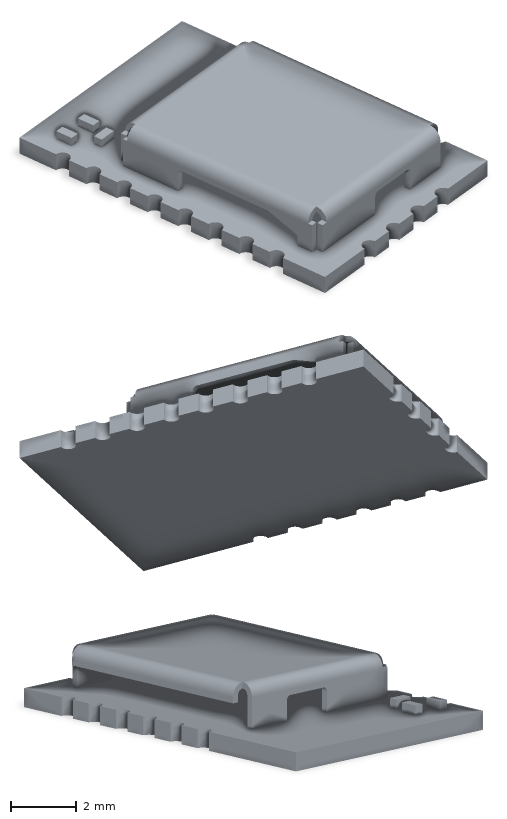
import cadquery as cq


BOARD_LENGTH = 12.0
BOARD_WIDTH = 8.0
BOARD_THICKNESS = 0.6
TOTAL_HEIGHT = 2.02

CONTACT_PITCH = 1.2
HOLE_RADIUS = 0.25
PLATING_RADIUS = 0.41
FRONT_CONTACTS = 8
BACK_CONTACTS = 6
SIDE_CONTACTS = 4
FIRST_FRONT_X = 1.69
FIRST_BACK_X = FIRST_FRONT_X + (FRONT_CONTACTS - BACK_CONTACTS) * CONTACT_PITCH
FIRST_SIDE_Y = (BOARD_WIDTH - (SIDE_CONTACTS - 1) * CONTACT_PITCH) / 2

SHEET = 0.2
BEND_RADIUS = 0.41
LID_X_MIN = 3.6
LID_X_MAX = 10.7
LID_Y_MIN = 1.2
LID_Y_MAX = 6.79
FOLD_Z = TOTAL_HEIGHT - BEND_RADIUS
CAN_X_MIN = LID_X_MIN - BEND_RADIUS
CAN_X_MAX = LID_X_MAX + BEND_RADIUS
CAN_Y_MIN = LID_Y_MIN - BEND_RADIUS
CAN_Y_MAX = LID_Y_MAX + BEND_RADIUS
SEAM_GAP = 0.05
OPENING_Z = 1.4
OPENING_FILLET = 0.15
END_OPENING_Y_MIN = 3.59
END_OPENING_Y_MAX = 5.29
FRONT_OPENING_X_MIN = 5.6
FRONT_OPENING_X_MAX = 10.3
SLOPE_START_X = 9.12
SLOPE_END_Z = 0.98

CHIP_LENGTH = 0.6
CHIP_WIDTH = 0.3
CHIP_HEIGHT = 0.3
CHIPS = [
    (1.33, 1.74, 0, 0.96, 0.0),
    (1.24, 0.79, 0, 0.98, -0.02),
    (2.16, 1.45, 90, 0.9, -0.02),
]

COPPER = 0.04
COPPER_EDGE = 7.68
ANTENNA_FEED_Y = CHIPS[0][1] + CHIP_WIDTH / 2
ANTENNA = [
    (1.49, ANTENNA_FEED_Y), (1.49, 2.3), (0.3, 2.3), (0.3, COPPER_EDGE),
    (2.48, COPPER_EDGE), (2.48, 2.85), (1.15, 2.85), (1.15, 7.01),
    (1.62, 7.01), (1.62, 3.07), (2.32, 3.07), (2.32, 7.48),
    (0.47, 7.48), (0.47, 2.53), (1.7, 2.53), (1.7, ANTENNA_FEED_Y),
]
BACK_LEFT_PAD = [(2.77, 6.49), (LID_X_MIN, 6.49), (LID_X_MIN, COPPER_EDGE), (2.77, COPPER_EDGE)]
BACK_RIGHT_PAD = [
    (LID_X_MAX, COPPER_EDGE), (11.7, COPPER_EDGE), (11.7, 6.92), (11.52, 6.92),
    (11.52, 6.19), (10.8, 6.19), (10.8, 6.92), (LID_X_MAX, 6.92),
]
FRONT_LEFT_PAD = [
    (2.52, 0.6), (5.85, 0.6), (5.85, LID_Y_MIN), (LID_X_MIN, LID_Y_MIN),
    (LID_X_MIN, 3.71), (2.69, 3.71), (2.69, 1.57), (2.52, 1.57),
]
FRONT_RIGHT_PAD = [
    (10.57, 0.43), (11.7, 0.43), (11.7, 1.24), (11.57, 1.24), (11.57, 1.79), (10.57, 1.79),
]


def block(x_min, x_max, y_min, y_max, z_min, z_max):
    """Box given by its limits along each axis."""
    size = (x_max - x_min, y_max - y_min, z_max - z_min)
    return cq.Workplane().box(*size, centered=False).translate((x_min, y_min, z_min))


def contact_centres():
    """Points on the board's edges where the castellations are centred."""
    front = [(FIRST_FRONT_X + i * CONTACT_PITCH, 0) for i in range(FRONT_CONTACTS)]
    back = [(FIRST_BACK_X + i * CONTACT_PITCH, BOARD_WIDTH) for i in range(BACK_CONTACTS)]
    side = [(BOARD_LENGTH, FIRST_SIDE_Y + i * CONTACT_PITCH) for i in range(SIDE_CONTACTS)]
    return front + back + side


def edge_cylinders(radius):
    """Upright cylinders through the board at every castellation."""
    return cq.Workplane().pushPoints(contact_centres()).circle(radius).extrude(BOARD_THICKNESS)


def copper_layer():
    """Antenna, shield pads and chip lands, set into the board's top face."""
    plane = cq.Workplane().workplane(offset=BOARD_THICKNESS - COPPER)
    layer = plane.polyline(ANTENNA).close().extrude(COPPER)
    for outline in (BACK_LEFT_PAD, BACK_RIGHT_PAD, FRONT_LEFT_PAD, FRONT_RIGHT_PAD):
        layer = layer.add(plane.polyline(outline).close().extrude(COPPER))
    for x, y, angle, land_length, land_offset in CHIPS:
        land = cq.Workplane().center(land_offset, 0).rect(land_length, CHIP_WIDTH).extrude(COPPER)
        land = land.rotate((0, 0, 0), (0, 0, 1), angle)
        layer = layer.add(land.translate((x, y, BOARD_THICKNESS - COPPER)))
    return layer


def make_board():
    """Board with castellations; the flush copper only leaves its outlines on the faces."""
    blank = block(0, BOARD_LENGTH, 0, BOARD_WIDTH, 0, BOARD_THICKNESS)
    blank = blank.cut(edge_cylinders(HOLE_RADIUS))
    plating = blank.intersect(edge_cylinders(PLATING_RADIUS))
    inlays = plating.solids().vals() + copper_layer().solids().vals()
    board = blank.val().cut(*inlays)
    return cq.Workplane(board.fuse(*inlays)).solids()


def fold(start, outward, length):
    """Quarter-round fold from the lid edge; it runs along outward x Z from its start point."""
    direction = cq.Vector(*outward)
    plane = cq.Plane(origin=(*start, FOLD_Z), xDir=direction, normal=direction.cross(cq.Vector(0, 0, 1)))
    annulus = cq.Workplane(plane).circle(BEND_RADIUS).circle(BEND_RADIUS - SHEET).extrude(length)
    quarter = cq.Workplane(plane).rect(BEND_RADIUS, BEND_RADIUS, centered=False).extrude(length)
    return annulus.intersect(quarter)


def end_opening():
    """Rounded cut-out that passes through both end walls."""
    cutter = block(CAN_X_MIN, CAN_X_MAX, END_OPENING_Y_MIN, END_OPENING_Y_MAX, 0, OPENING_Z)
    return cutter.edges("|X").fillet(OPENING_FILLET)


def front_opening():
    """Rounded cut-out in the front wall, its top sloping down towards +X."""
    outline = [
        (FRONT_OPENING_X_MIN, 0), (FRONT_OPENING_X_MIN, OPENING_Z), (SLOPE_START_X, OPENING_Z),
        (FRONT_OPENING_X_MAX, SLOPE_END_Z), (FRONT_OPENING_X_MAX, 0),
    ]
    cutter = cq.Workplane("XZ", origin=(0, CAN_Y_MIN + SHEET, 0)).polyline(outline).close().extrude(SHEET)
    return cutter.edges("|Y").fillet(OPENING_FILLET)


def make_can():
    """Shield can: lid, four folds, three walls and a short lip along the back."""
    lid_length = LID_X_MAX - LID_X_MIN
    lid_width = LID_Y_MAX - LID_Y_MIN
    wall_z = (BOARD_THICKNESS, FOLD_Z)
    front_inside = CAN_Y_MIN + SHEET
    left_inside = CAN_X_MIN + SHEET
    right_inside = CAN_X_MAX - SHEET

    can = block(LID_X_MIN, LID_X_MAX, LID_Y_MIN, LID_Y_MAX, TOTAL_HEIGHT - SHEET, TOTAL_HEIGHT)
    can = can.union(fold((LID_X_MIN, LID_Y_MIN), (-1, 0, 0), lid_width))
    can = can.union(fold((LID_X_MAX, LID_Y_MAX), (1, 0, 0), lid_width))
    can = can.union(fold((LID_X_MAX, LID_Y_MIN), (0, -1, 0), lid_length))
    can = can.union(fold((LID_X_MIN, LID_Y_MAX), (0, 1, 0), lid_length))

    can = can.union(block(CAN_X_MIN, left_inside, front_inside, LID_Y_MAX, *wall_z))
    can = can.union(block(right_inside, CAN_X_MAX, front_inside, LID_Y_MAX, *wall_z))
    front_x = (left_inside + SEAM_GAP, right_inside - SEAM_GAP)
    can = can.union(block(*front_x, CAN_Y_MIN, front_inside, *wall_z))
    can = can.union(block(LID_X_MIN, LID_X_MAX, CAN_Y_MAX - SHEET, CAN_Y_MAX, OPENING_Z, FOLD_Z))
    return can.cut(end_opening()).cut(front_opening()).solids()


def make_chip(x, y, angle):
    """Chip component standing on the board, turned about its own centre."""
    chip = cq.Workplane().rect(CHIP_LENGTH, CHIP_WIDTH).extrude(CHIP_HEIGHT)
    return chip.rotate((0, 0, 0), (0, 0, 1), angle).translate((x, y, BOARD_THICKNESS))


board = make_board()
shield_can = make_can()
chips = [make_chip(x, y, angle) for x, y, angle, _, _ in CHIPS]

result = cq.Compound.makeCompound([board.val(), shield_can.val(), *[chip.val() for chip in chips]])